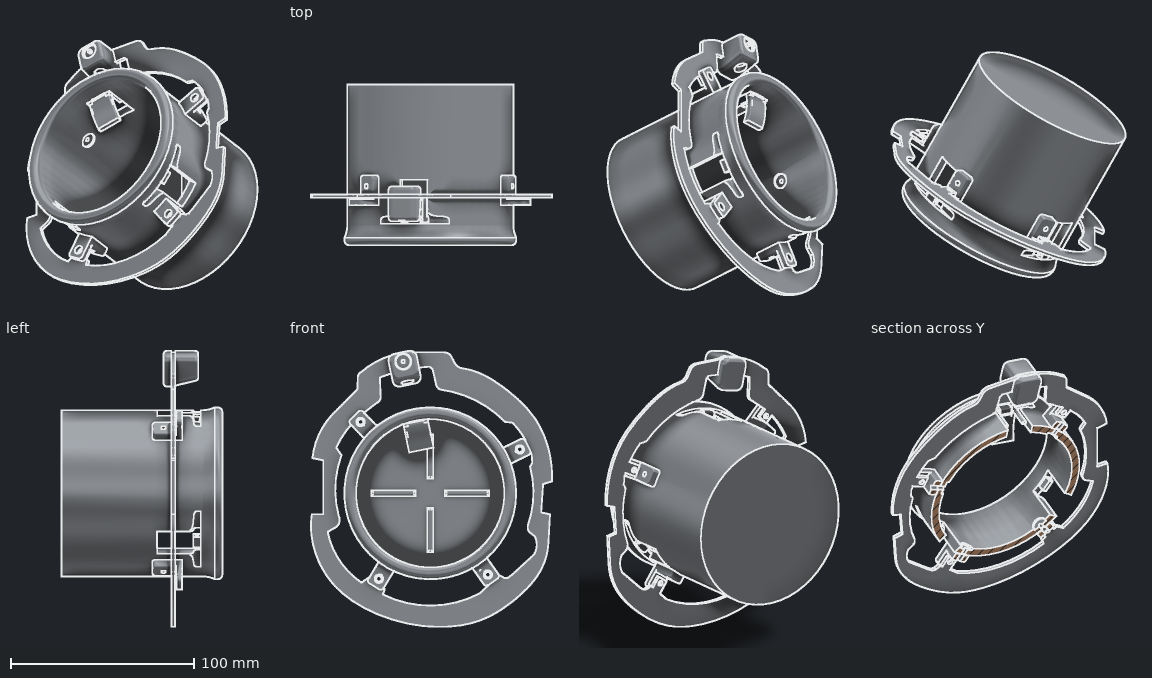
import cadquery as cq
import math


DUCT_LENGTH = 88.0
DUCT_RADIUS = 91.0 / 2
BORE_RADIUS = 81.0 / 2
FLOOR_THICKNESS = 3.0
RIM_RADIUS = 94.0 / 2
RIM_ROUND = 2.7
RIM_BAND_END = 4.2
RIM_TAPER_END = 10.7
MOUTH_ROUND = 3.0

BAR_START = 7.8
BAR_LENGTH = 24.5
BAR_WIDTH = 3.5
BAR_HEIGHT = 2.5
BAR_ROUND = 1.4

WINDOW_ANGLES = (101.6, 217.0, 323.0)
FLAP_ANGLE = WINDOW_ANGLES[0]
WINDOW_WIDTH = 15.1
WINDOW_START = 12.0
WINDOW_END = 35.8

RECESS_FLOOR = 41.4
RECESS_FLAT_END = 14.2
RECESS_ROUND = 1.7
RECESS_SPAN = 42.3

LUG_WIDTH = 7.0
LUG_BOTTOM = 41.5
LUG_TOP = 44.7
LUG_END = 16.0
LUG_ROUND = 1.2
PIVOT_DIAMETER = 1.5
PIVOT_RADIAL = 42.9
PIVOT_AXIAL = 13.9

FLAP_WIDTH = 13.6
FLAP_ARM_WIDTH = 2.3
FLAP_ARM_BOTTOM = 42.1
FLAP_ARM_TOP = 43.8
FLAP_ARM_START = 12.5
FLAP_ARM_END = 27.2
FLAP_ARM_ROUND = 0.6
FLAP_PANEL_TOP = 39.9
FLAP_PANEL_TIP = 24.2
FLAP_PANEL_RUN = 4.2
FLAP_PANEL_BULGE = 0.9
FLAP_PANEL_THICKNESS = 3.0
FLAP_PANEL_ROUND = 1.0

PLATE_FRONT = 26.0
PLATE_THICKNESS = 2.0
PLATE_BACK = PLATE_FRONT + PLATE_THICKNESS
TAB_WIDTH = 6.3
TAB_INNER = 51.8
TAB_OUTER = 61.1
TAB_HOLE = 2.9

BRACKET_ANGLES = (26.1, 134.3, 239.0, 305.3)
BRACKET_WIDTH = 9.8
BRACKET_FRONT = 22.0
FOOT_THICKNESS = 3.2
FOOT_END = 59.3
FOOT_ROUND = 1.8
FOOT_HOLE_RADIUS = 54.5
FOOT_HOLE = 4.7
LEG_OUTER = 50.1
LEG_END = 38.3
LEG_ROUND = 2.0
LEG_EDGE_ROUND = 1.0
LEG_HOLE = 2.5
LEG_HOLE_AXIAL = 32.3
DUCT_SCREW_HOLE = 2.0
DUCT_HEAD_DIAMETER = 8.0
DUCT_HEAD_DEPTH = 1.0

BLOCK_WIDTH = 15.7
BLOCK_FRONT = 13.1
BLOCK_BACK = 32.3
BLOCK_TOP = 78.6
BLOCK_BOTTOM = 60.4
BLOCK_FRONT_BOTTOM = 64.0
BLOCK_CORNER_ROUND = 3.8
BLOCK_END_ROUND = 2.0
BLOCK_SLOT_FLOOR = 68.4
DIAL_RADIAL = 73.5
DIAL_DIAMETER = 8.0
DIAL_DEPTH = 1.5
DIAL_PIN = 2.0
DIAL_CHAMFER = 0.5
SOCKET_DIAMETER = 7.0
SOCKET_AXIAL = 21.1
SOCKET_END = 64.9


def turn(body, angle):
    """Turn a feature from angle 0 (the +X direction) towards +Z."""
    return body.rotate((0, 0, 0), (0, 1, 0), -angle)


def box(radial, axial, width):
    """Box between two radii and two axial places, centred tangentially."""
    size = (radial[1] - radial[0], axial[1] - axial[0], width)
    return cq.Workplane("XY").box(*size, centered=(False, False, True)).translate((radial[0], axial[0], 0))


def axial_rod(diameter, radial, start, end):
    """Rod parallel to the duct axis."""
    rod = cq.Workplane("XZ").circle(diameter / 2).extrude(start - end)
    return rod.translate((radial, start, 0))


def radial_rod(diameter, axial, start, end):
    """Rod pointing away from the duct axis."""
    rod = cq.Workplane("YZ").circle(diameter / 2).extrude(end - start)
    return rod.translate((start, axial, 0))


def pivot_rod(length):
    """Rod along the hinge line of a window."""
    rod = cq.Workplane("XY").circle(PIVOT_DIAMETER / 2).extrude(length / 2, both=True)
    return rod.translate((PIVOT_RADIAL, PIVOT_AXIAL, 0))


def make_shell():
    diagonal = math.sqrt(0.5)
    rim_middle = RIM_ROUND * (1 - diagonal)
    mouth_middle = MOUTH_ROUND * (1 - diagonal)
    inner_floor = DUCT_LENGTH - FLOOR_THICKNESS
    taper_middle = ((RIM_RADIUS + 3 * DUCT_RADIUS) / 4, (RIM_BAND_END + RIM_TAPER_END) / 2)
    return (
        cq.Workplane("XY")
        .moveTo(0, DUCT_LENGTH)
        .lineTo(DUCT_RADIUS, DUCT_LENGTH)
        .lineTo(DUCT_RADIUS, RIM_TAPER_END)
        .threePointArc(taper_middle, (RIM_RADIUS, RIM_BAND_END))
        .lineTo(RIM_RADIUS, RIM_ROUND)
        .threePointArc((RIM_RADIUS - rim_middle, rim_middle), (RIM_RADIUS - RIM_ROUND, 0))
        .lineTo(BORE_RADIUS + MOUTH_ROUND, 0)
        .threePointArc((BORE_RADIUS + mouth_middle, mouth_middle), (BORE_RADIUS, MOUTH_ROUND))
        .lineTo(BORE_RADIUS, inner_floor)
        .lineTo(0, inner_floor)
        .close()
        .revolve(360, (0, 0, 0), (0, 1, 0))
    )


def make_floor_bar():
    inner_floor = DUCT_LENGTH - FLOOR_THICKNESS
    bar = box((BAR_START, BAR_START + BAR_LENGTH), (inner_floor - BAR_HEIGHT, inner_floor), BAR_WIDTH)
    return bar.faces("<Y").edges().fillet(BAR_ROUND)


def make_window_recess():
    """Flat floor that curves up into a back wall, whose outer edge is rounded over."""
    arc_near = RECESS_ROUND * (1 - math.sqrt(0.5))
    arc_far = RECESS_ROUND * math.sqrt(0.5)
    wall_axial = RECESS_FLAT_END + RECESS_ROUND
    wall_radial = RECESS_FLOOR + RECESS_ROUND
    lip_axial = wall_axial + RECESS_ROUND
    return (
        cq.Workplane("XY")
        .moveTo(RECESS_FLOOR, WINDOW_START)
        .lineTo(RECESS_FLOOR, RECESS_FLAT_END)
        .threePointArc((RECESS_FLOOR + arc_near, RECESS_FLAT_END + arc_far), (wall_radial, wall_axial))
        .threePointArc((wall_radial + arc_far, wall_axial + arc_near), (wall_radial + RECESS_ROUND, lip_axial))
        .lineTo(RIM_RADIUS, lip_axial)
        .lineTo(RIM_RADIUS, WINDOW_START)
        .close()
        .extrude(RECESS_SPAN / 2, both=True)
    )


def make_lug():
    lug = box((LUG_BOTTOM, LUG_TOP), (RIM_TAPER_END, LUG_END), LUG_WIDTH)
    lug = lug.faces(">Y").edges(">X").fillet(LUG_ROUND)
    return lug.cut(pivot_rod(2 * LUG_WIDTH))


def make_duct():
    duct = make_shell()
    for quarter in range(4):
        duct = duct.union(turn(make_floor_bar(), 90 * quarter))
    window = box((BORE_RADIUS / 2, RIM_RADIUS), (WINDOW_START, WINDOW_END), WINDOW_WIDTH)
    opening = window.union(make_window_recess())
    for angle in WINDOW_ANGLES:
        duct = duct.cut(turn(opening, angle)).union(turn(make_lug(), angle))
    screw_hole = radial_rod(DUCT_SCREW_HOLE, LEG_HOLE_AXIAL, BORE_RADIUS / 2, RIM_RADIUS)
    head_seat = radial_rod(DUCT_HEAD_DIAMETER, LEG_HOLE_AXIAL, BORE_RADIUS / 2, BORE_RADIUS + DUCT_HEAD_DEPTH)
    for angle in BRACKET_ANGLES:
        duct = duct.cut(turn(screw_hole.union(head_seat), angle))
    return duct


def make_flap():
    middle = (FLAP_PANEL_TOP + FLAP_PANEL_TIP) / 2
    tip_axial = FLAP_ARM_START + FLAP_PANEL_RUN
    panel = (
        cq.Workplane("XY")
        .moveTo(FLAP_PANEL_TOP, FLAP_ARM_START)
        .threePointArc((middle, FLAP_ARM_START + FLAP_PANEL_BULGE), (FLAP_PANEL_TIP, tip_axial))
        .lineTo(FLAP_PANEL_TIP, tip_axial + FLAP_PANEL_THICKNESS)
        .threePointArc(
            (middle, FLAP_ARM_START + FLAP_PANEL_BULGE + FLAP_PANEL_THICKNESS),
            (FLAP_PANEL_TOP, FLAP_ARM_START + FLAP_PANEL_THICKNESS),
        )
        .close()
        .extrude(FLAP_WIDTH / 2, both=True)
        .faces("<Z or >Z")
        .edges("<Y")
        .fillet(FLAP_PANEL_ROUND)
    )
    flap = panel.union(pivot_rod(FLAP_WIDTH - FLAP_ARM_WIDTH))
    arm = box((FLAP_ARM_BOTTOM, FLAP_ARM_TOP), (FLAP_ARM_START, FLAP_ARM_END), FLAP_ARM_WIDTH)
    arm = arm.faces(">X").edges("|Y").fillet(FLAP_ARM_ROUND)
    root_end = FLAP_ARM_START + FLAP_PANEL_THICKNESS
    root_bottom = FLAP_PANEL_TOP - FLAP_PANEL_THICKNESS / 2
    root = box((root_bottom, FLAP_ARM_BOTTOM + FLAP_ARM_ROUND), (FLAP_ARM_START, root_end), FLAP_ARM_WIDTH)
    for side in (-1, 1):
        offset = (0, 0, side * (FLAP_WIDTH - FLAP_ARM_WIDTH) / 2)
        flap = flap.union(arm.union(root).translate(offset))
    return turn(flap, FLAP_ANGLE)


def plate_outline():
    return (
        cq.Workplane("XZ")
        .moveTo(-12.1, 77.1)
        .lineTo(7.1, 77.1)
        .threePointArc((9.4, 76.7), (11.2, 75.5))
        .lineTo(13.5, 71.2)
        .threePointArc((14.8, 69.6), (16.8, 68.5))
        .spline([(22.5, 67.3), (42.0, 56.5), (58.0, 39.9), (65.2, 22.2), (66.5, 6.5)], includeCurrent=True)
        .lineTo(61.7, 5.0)
        .lineTo(60.7, -10.4)
        .lineTo(65.5, -11.5)
        .lineTo(64.6, -27.8)
        .spline(
            [(60.2, -42.4), (46.6, -57.8), (27.2, -69.6), (6.8, -73.0), (-29.6, -65.8), (-53.5, -49.2),
             (-64.2, -27.8), (-64.8, -11.3)],
            includeCurrent=True,
        )
        .lineTo(-58.5, -11.3)
        .lineTo(-58.5, 18.0)
        .lineTo(-64.5, 19.2)
        .threePointArc((-61.0, 32.0), (-53.9, 42.7))
        .lineTo(-39.9, 56.9)
        .lineTo(-39.7, 62.8)
        .threePointArc((-39.1, 65.0), (-37.5, 66.5))
        .threePointArc((-30.6, 71.4), (-12.1, 77.1))
        .close()
    )


def plate_opening():
    return (
        cq.Workplane("XZ")
        .moveTo(-27.5, 63.2)
        .lineTo(-22.0, 65.2)
        .threePointArc((-11.3, 68.0), (-0.3, 69.1))
        .lineTo(1.2, 67.8)
        .lineTo(3.0, 60.1)
        .threePointArc((4.0, 57.8), (5.7, 56.6))
        .threePointArc((25.7, 50.3), (40.9, 39.0))
        .lineTo(45.0, 38.5)
        .threePointArc((51.3, 30.2), (55.4, 20.8))
        .lineTo(55.7, 16.8)
        .lineTo(54.5, 14.5)
        .threePointArc((56.3, -1.5), (53.3, -17.5))
        .threePointArc((53.3, -19.5), (54.0, -21.1))
        .lineTo(57.2, -23.7)
        .threePointArc((58.1, -28.4), (56.6, -33.5))
        .lineTo(45.1, -44.1)
        .lineTo(42.4, -46.2)
        .lineTo(40.5, -46.2)
        .lineTo(37.7, -44.7)
        .lineTo(27.0, -54.6)
        .threePointArc((2.0, -61.3), (-25.8, -55.2))
        .lineTo(-24.8, -52.4)
        .lineTo(-33.5, -45.9)
        .lineTo(-37.6, -48.8)
        .threePointArc((-49.8, -36.2), (-56.0, -21.1))
        .lineTo(-52.1, -18.9)
        .threePointArc((-49.7, -16.0), (-50.0, -12.4))
        .threePointArc((-51.8, 4.2), (-48.5, 20.8))
        .lineTo(-51.3, 24.9)
        .threePointArc((-44.5, 36.0), (-35.3, 44.7))
        .lineTo(-29.0, 49.5)
        .threePointArc((-27.3, 51.2), (-27.0, 53.1))
        .close()
    )


def make_plate():
    plate = plate_outline().extrude(-PLATE_THICKNESS).cut(plate_opening().extrude(-PLATE_THICKNESS))
    plate = plate.translate((0, PLATE_FRONT, 0))
    tab = box((TAB_INNER, TAB_OUTER), (PLATE_FRONT, PLATE_BACK), TAB_WIDTH)
    hole = axial_rod(TAB_HOLE, FOOT_HOLE_RADIUS, PLATE_FRONT, PLATE_BACK)
    for angle in BRACKET_ANGLES:
        plate = plate.union(turn(tab, angle)).cut(turn(hole, angle))
    return plate


def make_bracket(angle):
    foot_back = BRACKET_FRONT + FOOT_THICKNESS
    foot = box((BORE_RADIUS, FOOT_END), (BRACKET_FRONT, foot_back), BRACKET_WIDTH)
    foot = foot.faces(">X").edges("|Y").fillet(FOOT_ROUND)
    leg = box((BORE_RADIUS, LEG_OUTER), (foot_back, LEG_END), BRACKET_WIDTH)
    leg = leg.faces(">Y").edges("|X").fillet(LEG_ROUND)
    leg = leg.faces(">X").edges("not <Y").fillet(LEG_EDGE_ROUND)
    bracket = foot.union(leg)
    bracket = bracket.cut(axial_rod(FOOT_HOLE, FOOT_HOLE_RADIUS, BRACKET_FRONT, foot_back))
    bracket = bracket.cut(radial_rod(LEG_HOLE, LEG_HOLE_AXIAL, BORE_RADIUS, LEG_OUTER))
    duct_envelope = cq.Workplane("XZ").circle(DUCT_RADIUS).extrude(-DUCT_LENGTH)
    return turn(bracket.cut(duct_envelope), angle)


def make_block():
    block = (
        cq.Workplane("XY")
        .moveTo(BLOCK_TOP, BLOCK_FRONT)
        .lineTo(BLOCK_TOP, BLOCK_BACK)
        .lineTo(BLOCK_BOTTOM, BLOCK_BACK)
        .lineTo(BLOCK_BOTTOM, PLATE_BACK)
        .lineTo(BLOCK_FRONT_BOTTOM, BLOCK_FRONT)
        .close()
        .extrude(BLOCK_WIDTH / 2, both=True)
    )
    block = block.faces("<Z or >Z").edges("not (<Y or >Y)").fillet(BLOCK_CORNER_ROUND)
    block = block.faces("<Y or >Y").edges().fillet(BLOCK_END_ROUND)
    dial = axial_rod(DIAL_DIAMETER, DIAL_RADIAL, BLOCK_FRONT, BLOCK_FRONT + DIAL_DEPTH)
    bevel = cq.Solid.makeCone(
        DIAL_DIAMETER / 2 + DIAL_CHAMFER,
        DIAL_DIAMETER / 2,
        DIAL_CHAMFER,
        cq.Vector(DIAL_RADIAL, BLOCK_FRONT, 0),
        cq.Vector(0, 1, 0),
    )
    dial = dial.union(cq.Workplane(bevel))
    dial_pin = axial_rod(DIAL_PIN, DIAL_RADIAL, BLOCK_FRONT, BLOCK_FRONT + DIAL_DEPTH)
    slot = box((BLOCK_SLOT_FLOOR, BLOCK_TOP), (PLATE_FRONT, PLATE_BACK), BLOCK_WIDTH)
    socket = radial_rod(SOCKET_DIAMETER, SOCKET_AXIAL, BLOCK_BOTTOM, SOCKET_END)
    return turn(block.cut(dial.cut(dial_pin)).cut(slot).cut(socket), FLAP_ANGLE)


block = make_block()
plate = make_plate().cut(block)
duct = make_duct()
flap = make_flap()
brackets = [make_bracket(angle) for angle in BRACKET_ANGLES]

result = cq.Compound.makeCompound(
    [duct.val(), flap.val(), plate.val(), block.val(), *[bracket.val() for bracket in brackets]]
)